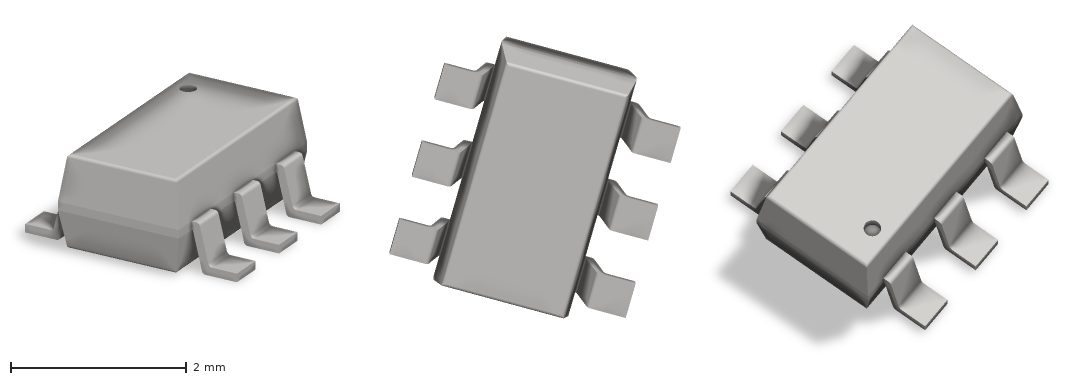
import cadquery as cq
import math

BODY_WIDTH = 1.6
BODY_LENGTH = 2.9
BODY_TOP = 1.2
STANDOFF = 0.035
TOP_DRAFT = 8.0
BOTTOM_DRAFT = 9.5
RIM_RADIUS = 0.04

MARK_DIAMETER = 0.2
MARK_DEPTH = 0.12
MARK_X = -0.48
MARK_Y = 0.95

LEAD_SPAN = 2.8
LEAD_TOP = 0.625
LEAD_THICKNESS = 0.107
LEAD_WIDTH = 0.42
SHOULDER_FLAT = 0.017
LEAD_PITCH = 0.95
LEADS_PER_SIDE = 3
LEAD_SLANT = 14.0
BEND_RADIUS = 0.05

BAND_TOP = LEAD_TOP
BAND_BOTTOM = LEAD_TOP - LEAD_THICKNESS


def band_rectangle(height):
    """The housing's largest outline, at the given Z."""
    return cq.Workplane("XY", origin=(0, 0, height)).rect(BODY_WIDTH, BODY_LENGTH)


def make_housing():
    """Straight parting band with a tapered block above and below it, and a pin-1 mark."""
    band = band_rectangle(BAND_BOTTOM).extrude(BAND_TOP - BAND_BOTTOM)
    upper = band_rectangle(BAND_TOP).extrude(BODY_TOP - BAND_TOP, taper=TOP_DRAFT)
    lower = band_rectangle(BAND_BOTTOM).extrude(STANDOFF - BAND_BOTTOM, taper=BOTTOM_DRAFT)
    upper = upper.faces(">Z").edges().fillet(RIM_RADIUS)
    lower = lower.faces("<Z").edges().fillet(RIM_RADIUS)
    mark = (
        cq.Workplane("XY", origin=(MARK_X, MARK_Y, BODY_TOP - MARK_DEPTH))
        .circle(MARK_DIAMETER / 2)
        .extrude(MARK_DEPTH)
    )
    return band.union(upper).union(lower).cut(mark)


def make_lead():
    """Gull-wing lead on the +X side, centred on Y = 0, butting against the parting band."""
    slant = math.radians(LEAD_SLANT)
    bend_shift = LEAD_THICKNESS * math.tan((math.pi / 2 - slant) / 2)
    leg_run = (LEAD_TOP - LEAD_THICKNESS) * math.tan(slant)
    root_x = BODY_WIDTH / 2
    tip_x = LEAD_SPAN / 2
    inner_knee_x = root_x + SHOULDER_FLAT
    knee_x = inner_knee_x + bend_shift
    ankle_x = knee_x + leg_run
    heel_x = inner_knee_x + leg_run

    lead = (
        cq.Workplane("XZ", origin=(0, LEAD_WIDTH / 2, 0))
        .moveTo(root_x, LEAD_TOP)
        .lineTo(knee_x, LEAD_TOP)
        .lineTo(ankle_x, LEAD_THICKNESS)
        .lineTo(tip_x, LEAD_THICKNESS)
        .lineTo(tip_x, 0)
        .lineTo(heel_x, 0)
        .lineTo(inner_knee_x, LEAD_TOP - LEAD_THICKNESS)
        .lineTo(root_x, LEAD_TOP - LEAD_THICKNESS)
        .close()
        .extrude(LEAD_WIDTH)
    )
    bends = [(knee_x, LEAD_TOP), (ankle_x, LEAD_THICKNESS), (heel_x, 0)]
    for bend_x, bend_z in bends:
        corner = cq.NearestToPointSelector((bend_x, 0, bend_z))
        lead = lead.edges("|Y").edges(corner).fillet(BEND_RADIUS)
    return lead


def make_leads():
    """Two mirrored rows of leads, spaced evenly along Y."""
    lead = make_lead().val()
    mirrored_lead = lead.mirror("YZ")
    leads = []
    for index in range(LEADS_PER_SIDE):
        y = (index - (LEADS_PER_SIDE - 1) / 2) * LEAD_PITCH
        for side_lead in (lead, mirrored_lead):
            leads.append(side_lead.translate(cq.Vector(0, y, 0)))
    return leads


housing = make_housing()
leads = make_leads()
result = cq.Compound.makeCompound([housing.val(), *leads])